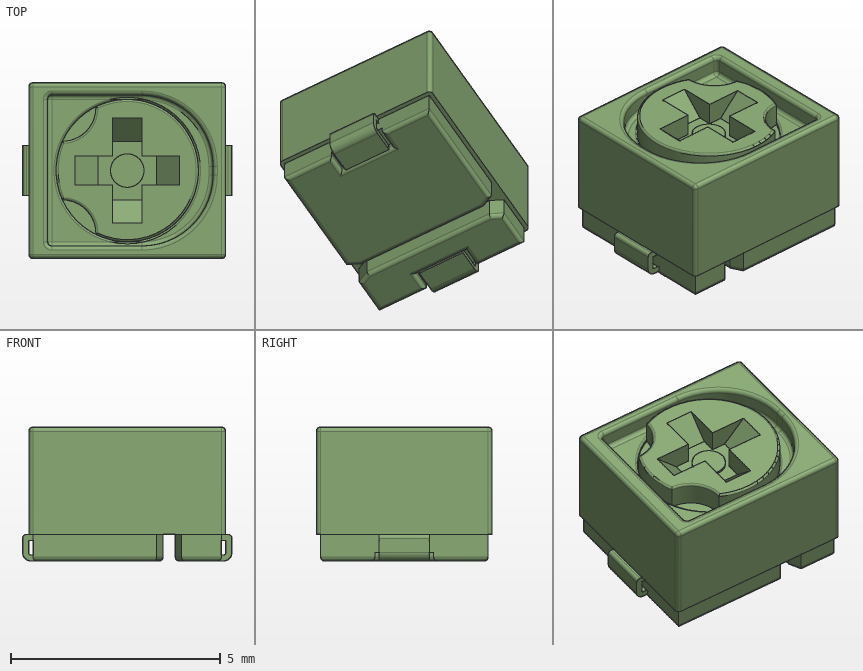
import cadquery as cq

housing_length = 4.7
housing_width = 4.2
top_z = 3.2
seat_z = 0.64
edge_radius = 0.1
foot_length = housing_length - 2 * edge_radius
foot_width = housing_width - 2 * edge_radius

slot_x = 1.0
slot_width = 0.29
flare_width = 0.6
flare_depth = 0.31

pocket_floor_z = 2.7
pocket_left_x = -1.9
pocket_half_width = 1.8
pocket_half_flat = 0.1
pocket_arc_x = 0.35
pocket_arc_radius = pocket_half_width - pocket_half_flat
pocket_right_x = pocket_arc_x + pocket_arc_radius
pocket_edge_radius = 0.1

well_radius = 1.7
well_floor_z = 2.6
well_lip_radius = 0.05

rotor_edge_radius = 0.05
cross_half_length = 1.25
cross_width = 0.7
cross_depth = 0.55
cross_floor_z = top_z - cross_depth
scallop_radius = 0.8
scallop_x = -1.55
scallop_y = 1.5

pin_radius = 0.4
pin_height = 0.05
pin_top_z = cross_floor_z + pin_height
pin_length = 0.7

overall_length = 5.0
terminal_width = 1.2
strip_thickness = 0.15
terminal_arm = 0.75
terminal_bottom_radius = 0.205
terminal_top_radius = 0.095
terminal_inner_radius = 0.04
terminal_end_x = overall_length / 2 - terminal_arm

notch_width = 1.4
notch_height = 0.205
notch_depth = foot_length / 2 - terminal_end_x


def make_slot():
    """Plan outline mirrored from one half, so both ends flare alike."""
    end_y = foot_width / 2
    neck_y = end_y - flare_depth
    right_side = [
        (slot_x + flare_width / 2, -end_y),
        (slot_x + slot_width / 2, -neck_y),
        (slot_x + slot_width / 2, neck_y),
        (slot_x + flare_width / 2, end_y),
    ]
    left_side = [(2 * slot_x - x, y) for x, y in reversed(right_side)]
    return cq.Workplane("XY").polyline(right_side + left_side).close().extrude(seat_z)


def make_feet():
    feet = cq.Workplane("XY").box(foot_length, foot_width, seat_z, centered=(True, True, False))
    notch_x = (foot_length - notch_depth) / 2
    notches = (
        cq.Workplane("XY")
        .pushPoints([(-notch_x, 0), (notch_x, 0)])
        .rect(notch_depth, notch_width)
        .extrude(notch_height)
    )
    return feet.cut(make_slot()).cut(notches).faces("<Z").edges().fillet(edge_radius)


def make_pocket():
    pocket = (
        cq.Workplane("XY", origin=(0, 0, pocket_floor_z))
        .moveTo(pocket_left_x, -pocket_half_width)
        .lineTo(pocket_arc_x, -pocket_half_width)
        .radiusArc((pocket_right_x, -pocket_half_flat), -pocket_arc_radius)
        .lineTo(pocket_right_x, pocket_half_flat)
        .radiusArc((pocket_arc_x, pocket_half_width), -pocket_arc_radius)
        .lineTo(pocket_left_x, pocket_half_width)
        .close()
        .extrude(top_z - pocket_floor_z)
    )
    return pocket.edges("(|Z and <X) or <Z").fillet(pocket_edge_radius)


def make_well():
    """Revolved, with a rounded lip where the well meets the pocket floor."""
    return (
        cq.Workplane("XZ")
        .moveTo(0, well_floor_z)
        .lineTo(well_radius, well_floor_z)
        .lineTo(well_radius, pocket_floor_z - well_lip_radius)
        .radiusArc((well_radius + well_lip_radius, pocket_floor_z), well_lip_radius)
        .lineTo(0, pocket_floor_z)
        .close()
        .revolve(360, (0, 0, 0), (0, 1, 0))
    )


def make_housing(inserts):
    """Block and feet, recessed for the inserts that are seated in them."""
    block = (
        cq.Workplane("XY", origin=(0, 0, seat_z))
        .box(housing_length, housing_width, top_z - seat_z, centered=(True, True, False))
        .edges("|Z or >Z")
        .fillet(edge_radius)
        .cut(make_pocket())
    )
    margin = 0.05
    pocket_rim = cq.selectors.BoxSelector(
        (pocket_left_x - margin, -pocket_half_width - margin, top_z - margin),
        (pocket_right_x + margin, pocket_half_width + margin, top_z + margin),
    )
    block = block.edges(pocket_rim).fillet(pocket_edge_radius)
    housing = block.cut(make_well()).union(make_feet())
    for insert in inserts:
        housing = housing.cut(insert)
    return housing


def make_cross():
    """Two crossed arms with parallel sides and sloping ends."""
    floor_half_length = cross_half_length - cross_depth
    arm = (
        cq.Workplane("XZ")
        .polyline([
            (-cross_half_length, top_z),
            (cross_half_length, top_z),
            (floor_half_length, cross_floor_z),
            (-floor_half_length, cross_floor_z),
        ])
        .close()
        .extrude(cross_width / 2, both=True)
    )
    return arm.union(arm.rotate((0, 0, 0), (0, 0, 1), 90))


def make_rotor(pin):
    height = top_z - well_floor_z
    base_plane = cq.Workplane("XY", origin=(0, 0, well_floor_z))
    disc = base_plane.circle(well_radius).extrude(height)
    scallops = (
        base_plane.pushPoints([(scallop_x, scallop_y), (scallop_x, -scallop_y)])
        .circle(scallop_radius)
        .extrude(height)
    )
    rotor = disc.cut(scallops).faces(">Z").edges().fillet(rotor_edge_radius)
    return rotor.cut(make_cross()).cut(pin)


def make_pin():
    bottom_z = pin_top_z - pin_length
    return cq.Workplane("XY", origin=(0, 0, bottom_z)).circle(pin_radius).extrude(pin_length)


def make_terminal(angle):
    """Strip at the +X end, turned about Z by the angle."""
    outside = (
        cq.Workplane("XY", origin=(terminal_end_x, 0, 0))
        .box(terminal_arm, terminal_width, seat_z, centered=(False, True, False))
    )
    outside = outside.edges("|Y and >X and <Z").fillet(terminal_bottom_radius)
    outside = outside.edges("|Y and >X and >Z").fillet(terminal_top_radius)
    inside = (
        cq.Workplane("XY", origin=(terminal_end_x, 0, strip_thickness))
        .box(
            terminal_arm - strip_thickness,
            terminal_width,
            seat_z - 2 * strip_thickness,
            centered=(False, True, False),
        )
        .edges("|Y and >X and <Z")
        .fillet(terminal_inner_radius)
    )
    return outside.cut(inside).rotate((0, 0, 0), (0, 0, 1), angle)


terminals = [make_terminal(angle) for angle in (0, 180)]
pin = make_pin()
rotor = make_rotor(pin)
housing = make_housing([pin, *terminals])

result = cq.Compound.makeCompound([
    housing.val(),
    rotor.val(),
    pin.val(),
    *[terminal.val() for terminal in terminals],
])